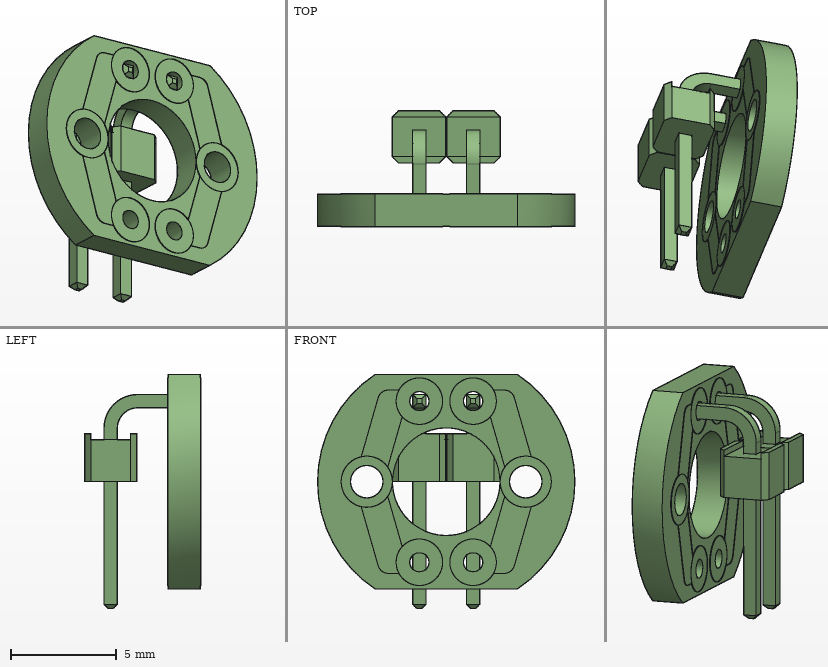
import cadquery as cq
import math

pitch = 2.54
pin_x = pitch / 2
pin_z = 1.5 * pitch

board_radius = 6.09
board_height = 10.16
board_thickness = 1.524
center_hole_radius = 2.54

pad_height = 0.035
trace_height = 0.03
pin_pad_radius = 1.1
pin_hole_radius = 0.45
mount_x = 3.76
mount_pad_radius = 1.21
mount_hole_radius = 0.762

cut_clearance = 1

trace_outer_x = 4.36
trace_width = 1.395
trace_end_z = 4.335
trace_slant = math.radians(16)
trace_corner_radius = 0.5

block_gap = 0.04
block_depth = 2.475
block_height = 2.28
block_front_y = 1.476
block_chamfer = 0.3
channel_depth = 0.29
block_x = (pitch + block_gap) / 2
block_center_y = block_front_y + block_depth / 2

pin_width = 0.64
pin_bend_radius = 1.28
overall_height = 11.08
pin_bottom_z = board_height / 2 - overall_height
pin_tip_y = -board_thickness - pad_height
taper_length = 0.2
taper_inset = 0.2


def y_prism(outline, y_start, y_end):
    """Extrude an XZ outline so that it fills y_start to y_end."""
    return outline.extrude(y_end - y_start).translate((0, y_end, 0))


def disc(x, z, radius, proud):
    """Disc through the board, standing proud of both faces."""
    outline = cq.Workplane("XZ").center(x, z).circle(radius)
    return y_prism(outline, -board_thickness - proud, proud)


def trace(side, end):
    """Slanted strip from a mounting pad (side = -1 or 1) to a pin pad (end = -1 or 1)."""
    shift = trace_end_z * math.tan(trace_slant)
    inner_x = trace_outer_x - trace_width
    outline = (
        cq.Workplane("XZ")
        .moveTo(side * trace_outer_x, 0)
        .lineTo(side * (trace_outer_x - shift), end * trace_end_z)
        .lineTo(side * (inner_x - shift), end * trace_end_z)
        .lineTo(side * inner_x, 0)
        .close()
    )
    strip = y_prism(outline, -board_thickness - trace_height, trace_height)
    outer_corner = (side * (trace_outer_x - shift), 0, end * trace_end_z)
    return strip.edges("|Y").edges(cq.NearestToPointSelector(outer_corner)).fillet(trace_corner_radius)


def make_board():
    diameter = 2 * board_radius
    flats = cq.Workplane("XY").box(diameter, diameter, board_height)
    board = disc(0, 0, board_radius, 0).intersect(flats)
    pin_places = [(side * pin_x, end * pin_z) for side in (-1, 1) for end in (-1, 1)]
    mount_places = [(side * mount_x, 0) for side in (-1, 1)]

    for side in (-1, 1):
        for end in (-1, 1):
            board = board.union(trace(side, end))
    for x, z in pin_places:
        board = board.union(disc(x, z, pin_pad_radius, pad_height))
    for x, z in mount_places:
        board = board.union(disc(x, z, mount_pad_radius, pad_height))

    for x, z in pin_places:
        board = board.cut(disc(x, z, pin_hole_radius, cut_clearance))
    for x, z in mount_places:
        board = board.cut(disc(x, z, mount_hole_radius, cut_clearance))
    return board.cut(disc(0, 0, center_hole_radius, cut_clearance))


def taper(plane):
    """Pyramid frustum that ends a pin, pointing along the plane normal."""
    end_width = pin_width - 2 * taper_inset
    return (
        cq.Workplane(plane)
        .rect(pin_width, pin_width)
        .workplane(offset=taper_length)
        .rect(end_width, end_width)
        .loft(ruled=True)
    )


def make_pin(x):
    low_z = pin_bottom_z + taper_length
    front_y = pin_tip_y + taper_length
    path = (
        cq.Workplane("YZ")
        .moveTo(block_center_y, low_z)
        .lineTo(block_center_y, pin_z - pin_bend_radius)
        .radiusArc((block_center_y - pin_bend_radius, pin_z), -pin_bend_radius)
        .lineTo(front_y, pin_z)
    )
    start = cq.Plane(origin=(0, block_center_y, low_z), xDir=(1, 0, 0), normal=(0, 0, 1))
    bar = cq.Workplane(start).rect(pin_width, pin_width).sweep(path)
    low_plane = cq.Plane(origin=(0, block_center_y, low_z), xDir=(1, 0, 0), normal=(0, 0, -1))
    front_plane = cq.Plane(origin=(0, front_y, pin_z), xDir=(1, 0, 0), normal=(0, -1, 0))
    return bar.union(taper(low_plane)).union(taper(front_plane)).translate((x, 0, 0))


def make_block(x, pin):
    """Chamfered insulator around a pin, standing on z = 0, with a channel along X in its top."""
    block = (
        cq.Workplane("XY")
        .center(x, block_center_y)
        .rect(pitch, block_depth)
        .extrude(block_height)
        .edges("|Z")
        .chamfer(block_chamfer)
    )
    channel = (
        cq.Workplane("XY", origin=(x, block_center_y, block_height - channel_depth))
        .rect(pitch, block_depth - 2 * block_chamfer)
        .extrude(channel_depth)
    )
    return block.cut(channel).cut(pin)


pins = [make_pin(side * pin_x) for side in (-1, 1)]
blocks = [make_block(side * block_x, pin) for side, pin in zip((-1, 1), pins)]

board = make_board()
for pin in pins:
    board = board.cut(pin)

result = cq.Compound.makeCompound([body.val() for body in [board, *blocks, *pins]])